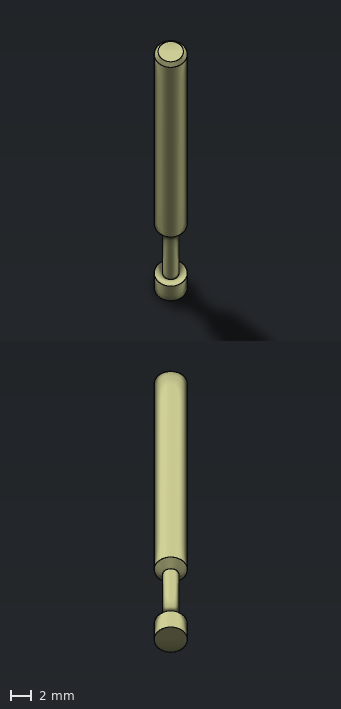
import cadquery as cq

total_length = 38.1
shank_diameter = 3.175
neck_diameter = shank_diameter / 2
head_diameter = shank_diameter
head_length = 2.38
neck_end_height = 9.525
top_chamfer = 0.381

shank_radius = shank_diameter / 2
neck_radius = neck_diameter / 2
head_radius = head_diameter / 2

shank_start_height = neck_end_height + shank_radius - neck_radius


def pin_half_section():
    """Closed half section in the XZ plane, from the bottom of the axis up to the top."""
    return (
        cq.Workplane("XZ")
        .moveTo(0, 0)
        .lineTo(head_radius, 0)
        .lineTo(head_radius, head_length)
        .lineTo(neck_radius, head_length)
        .lineTo(neck_radius, neck_end_height)
        .lineTo(shank_radius, shank_start_height)
        .lineTo(shank_radius, total_length - top_chamfer)
        .lineTo(shank_radius - top_chamfer, total_length)
        .lineTo(0, total_length)
        .close()
    )


result = pin_half_section().revolve(360, (0, 0, 0), (0, 1, 0))